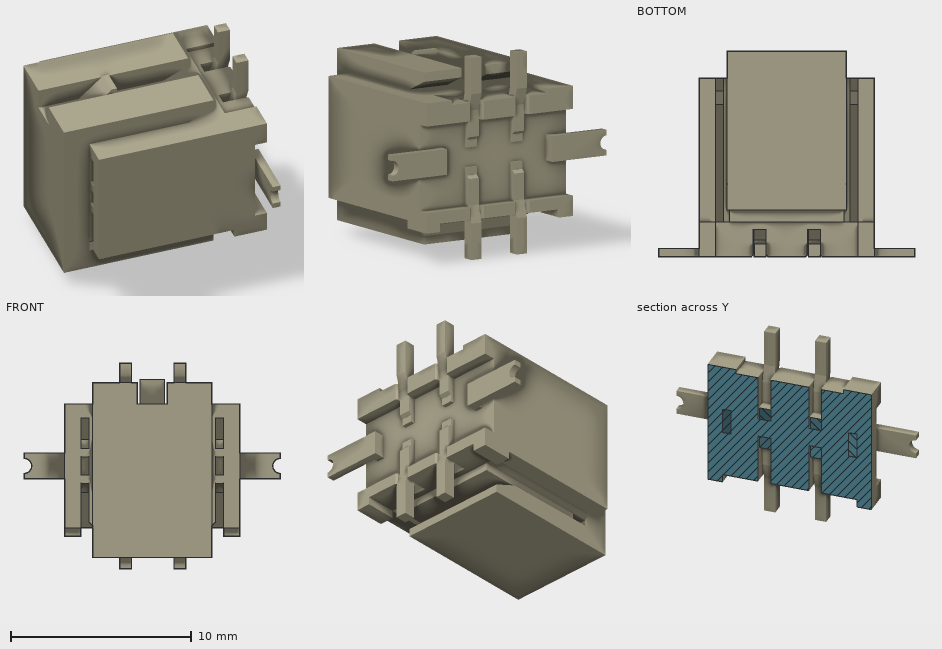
import cadquery as cq


overall_width = 14.2
overall_height = 11.4

housing_width = 9.71
housing_depth = 9.9
housing_height = 6.87
housing_top = housing_height / 2
foot_height = 0.47
foot_depth = 1.92
pad_width = 6.33
pad_length = 7.0
ledge_width = 6.33
ledge_depth = 1.87
ledge_drop = 0.25
rear_gap_top = 2.13
rear_gap_bottom = -2.75
rear_gap_depth = 0.71

latch_width = 1.38
latch_rise = 1.36
latch_back = -7.33
latch_root_fillet = 0.28
latch_crest_front = -7.64
latch_front = -9.23

nail_thickness = 0.47
channel_inner = 3.5
channel_outer = channel_inner + nail_thickness
channel_top = 2.65
channel_chamfer = 0.31
bar_inner = 0.5
bar_outer = 0.97
bar_depth = 0.71

nail_height = 1.45
nail_head_height = 2.95
nail_notch_radius = 0.41

pin_offset = 1.5
pin_width = 0.67
pin_thickness = 0.71
pin_reach = overall_height / 2
pin_jog_start = 3.65
pin_jog_end = 2.68
pin_jog = 0.27
pin_front_jog = 0.23
pin_front_drop = 0.05
pin_shoulder_start = 1.18
pin_shoulder_end = 1.01
pin_shoulder = 0.2
slot_width = 0.72
slot_depth = 1.5
slot_floor = 0.57
slot_mouth_chamfer = 0.1

cap_width = 6.62
cap_front = -11.4
cap_arm_tip = -2.58
cap_taper_end = -4.05
cap_arm_thickness = 1.18
cap_top = housing_top + cap_arm_thickness
cap_floor = -housing_top - foot_height
cap_bottom = cap_floor - cap_arm_thickness
cap_upper_tip_thickness = 0.53
cap_lower_tip_thickness = 0.48
cap_lower_draft = 0.07
cap_notch_width = 1.65

front = -housing_depth
SIDES = (-1, 1)


def box(x_range, y_range, z_range):
    """Axis-aligned box between the given pairs of limits, in either order."""
    lows = [min(r) for r in (x_range, y_range, z_range)]
    sizes = [abs(r[1] - r[0]) for r in (x_range, y_range, z_range)]
    return cq.Workplane("XY").box(*sizes, centered=False).translate(tuple(lows))


def extrude_side_profile(points, width):
    """Extrude a (Y, Z) outline symmetrically about X = 0."""
    return cq.Workplane("YZ").polyline(points).close().extrude(width / 2, both=True)


def make_latch():
    """Wedge with a sloping front, a flat crest and an upright back rounded into the housing."""
    crest = housing_top + latch_rise
    return (
        cq.Workplane("YZ")
        .moveTo(latch_front, housing_top)
        .lineTo(latch_crest_front, crest)
        .lineTo(latch_back, crest)
        .lineTo(latch_back, housing_top + latch_root_fillet)
        .radiusArc((latch_back + latch_root_fillet, housing_top), -latch_root_fillet)
        .close()
        .extrude(latch_width / 2, both=True)
    )


def make_channel(side):
    """Open-front pocket in a side wall, crossed by two bars, with a chamfered inner bottom corner."""
    x_range = (side * channel_inner, side * channel_outer)
    channel = box(x_range, (front, -foot_depth), (-housing_top, channel_top))
    for level in SIDES:
        bar = box(x_range, (front, front + bar_depth), (level * bar_inner, level * bar_outer))
        channel = channel.cut(bar)
    chamfer = (
        cq.Workplane("XZ", origin=(0, -foot_depth, 0))
        .polyline([
            (side * channel_inner, -housing_top),
            (side * channel_inner, -housing_top + channel_chamfer),
            (side * (channel_inner - channel_chamfer), -housing_top),
        ])
        .close()
        .extrude(housing_depth - foot_depth)
    )
    return channel.union(chamfer)


def make_pin_slot(side, level):
    """Slot from the mounting face, running out through the top (level 1) or bottom (level -1)."""
    x_min = side * pin_offset - slot_width / 2
    x_max = x_min + slot_width
    outline = [
        (x_min, -slot_depth),
        (x_min, -slot_mouth_chamfer),
        (x_min - slot_mouth_chamfer, 0),
        (x_max + slot_mouth_chamfer, 0),
        (x_max, -slot_mouth_chamfer),
        (x_max, -slot_depth),
    ]
    return (
        cq.Workplane("XY", origin=(0, 0, level * slot_floor))
        .polyline(outline)
        .close()
        .extrude(level * (housing_top - slot_floor))
    )


def make_housing():
    half_width = housing_width / 2
    body = box((-half_width, half_width), (front, 0), (-housing_top, housing_top))

    bottom = (-housing_top - foot_height, -housing_top)
    body = body.union(box((-pad_width / 2, pad_width / 2), (-foot_depth - pad_length, -foot_depth), bottom))
    for side in SIDES:
        body = body.union(box((side * channel_outer, side * half_width), (-foot_depth, 0), bottom))

    body = body.union(make_latch())

    ledge = (housing_top - ledge_drop, housing_top)
    body = body.cut(box((-ledge_width / 2, ledge_width / 2), (-ledge_depth, 0), ledge))

    gap = (rear_gap_bottom, rear_gap_top)
    body = body.cut(box((-half_width, half_width), (-rear_gap_depth, 0), gap))

    for side in SIDES:
        body = body.cut(make_channel(side))
        passage = (-nail_height / 2, nail_height / 2)
        body = body.cut(box((side * channel_inner, side * channel_outer), (-foot_depth, 0), passage))
        for level in SIDES:
            body = body.cut(make_pin_slot(side, level))
    return body


def make_cap():
    """U-shaped cap: two tapered arms joined by a front web, with a notch along the upper arm."""
    outline = [
        (cap_front, cap_top),
        (cap_arm_tip, cap_top),
        (cap_arm_tip, cap_top - cap_upper_tip_thickness),
        (cap_taper_end, housing_top),
        (front, housing_top),
        (front, cap_floor),
        (cap_taper_end, cap_floor - cap_lower_draft),
        (cap_arm_tip, cap_bottom + cap_lower_tip_thickness),
        (cap_arm_tip, cap_bottom),
        (cap_front, cap_bottom),
    ]
    body = extrude_side_profile(outline, cap_width)
    half_notch = cap_notch_width / 2
    return body.cut(box((-half_notch, half_notch), (cap_front, cap_arm_tip), (housing_top, cap_top)))


def make_nail(side):
    """L-shaped solder nail: notched plate outside, leg and pointed head inside the channel."""
    half_height = nail_height / 2
    half_head = nail_head_height / 2
    tip = front + bar_depth
    x_range = (side * channel_inner, side * overall_width / 2)
    plate = box(x_range, (-nail_thickness, 0), (-half_height, half_height))
    notch = (
        cq.Workplane("XZ")
        .center(side * overall_width / 2, 0)
        .circle(nail_notch_radius)
        .extrude(nail_thickness)
    )
    leg_outline = [
        (0, half_height),
        (-foot_depth, half_height),
        (-foot_depth, half_head),
        (tip + half_head - half_height, half_head),
        (tip, half_height),
        (tip, -half_height),
        (tip + half_head - half_height, -half_head),
        (-foot_depth, -half_head),
        (-foot_depth, -half_height),
        (0, -half_height),
    ]
    leg = (
        cq.Workplane("YZ", origin=(side * channel_inner, 0, 0))
        .polyline(leg_outline)
        .close()
        .extrude(side * nail_thickness)
    )
    return plate.cut(notch).union(leg)


def make_pin(side, level):
    """Bent pin lying against the +X wall of its slot; level -1 is the mirrored lower pin."""
    outline = [
        (0, pin_reach),
        (0, pin_jog_start),
        (-pin_jog, pin_jog_end),
        (-pin_jog, pin_shoulder_start),
        (-pin_jog - pin_shoulder, pin_shoulder_end),
        (-pin_jog - pin_shoulder, slot_floor),
        (-slot_depth, slot_floor),
        (-slot_depth, slot_floor + pin_thickness),
        (-pin_thickness - pin_front_jog, slot_floor + pin_thickness),
        (-pin_thickness - pin_front_jog, pin_jog_end - pin_front_drop),
        (-pin_thickness, pin_jog_start - pin_front_drop),
        (-pin_thickness, pin_reach),
    ]
    x_min = side * pin_offset + slot_width / 2 - pin_width
    return (
        cq.Workplane("YZ", origin=(x_min, 0, 0))
        .polyline([(y, level * z) for y, z in outline])
        .close()
        .extrude(pin_width)
    )


housing = make_housing()
cap = make_cap()
nails = [make_nail(side) for side in SIDES]
pins = [make_pin(side, level) for side in SIDES for level in SIDES]

result = cq.Compound.makeCompound([
    housing.val(),
    cap.val(),
    *[nail.val() for nail in nails],
    *[pin.val() for pin in pins],
])